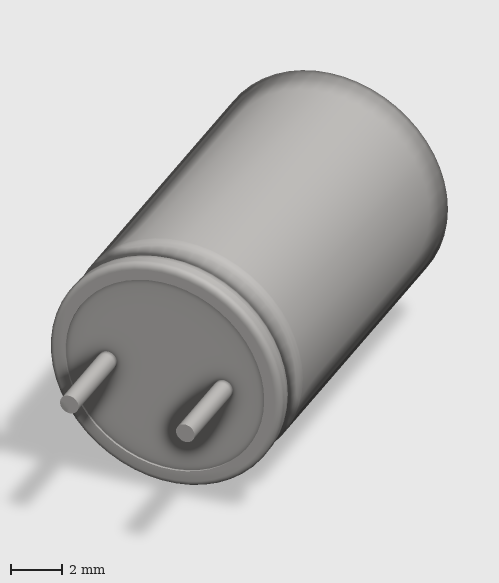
import cadquery as cq
import math

total_length = 19.5

can_diameter = 10.0
can_radius = can_diameter / 2
lead_length = 3.5
can_length = total_length - lead_length
closed_end_fillet = 0.53
crimp_end_fillet = 0.25

groove_center = 1.3
groove_depth = 0.27
groove_half_width = 0.76
groove_arc_half_width = 0.4

seal_diameter = 8.58
seal_recess = 0.1

lead_diameter = 0.8
lead_spacing = can_diameter / 2


def make_can():
    """Revolve the half profile of the can, with its rolled groove, about the Y axis."""
    turn = 2 * math.atan(groove_depth / groove_half_width)
    shoulder_radius = (groove_half_width - groove_arc_half_width) / math.sin(turn)
    shoulder_end = can_radius - shoulder_radius * (1 - math.cos(turn))
    shoulder_drop = shoulder_radius * (1 - math.cos(turn / 2))
    shoulder_middle = groove_half_width - shoulder_radius * math.sin(turn / 2)
    profile = (
        cq.Workplane("XY")
        .lineTo(can_radius, 0)
        .lineTo(can_radius, groove_center - groove_half_width)
        .threePointArc(
            (can_radius - shoulder_drop, groove_center - shoulder_middle),
            (shoulder_end, groove_center - groove_arc_half_width),
        )
        .threePointArc(
            (can_radius - groove_depth, groove_center),
            (shoulder_end, groove_center + groove_arc_half_width),
        )
        .threePointArc(
            (can_radius - shoulder_drop, groove_center + shoulder_middle),
            (can_radius, groove_center + groove_half_width),
        )
        .lineTo(can_radius, can_length)
        .lineTo(0, can_length)
        .close()
    )
    can = profile.revolve(360, (0, 0, 0), (0, 1, 0))
    can = can.faces(">Y").edges().fillet(closed_end_fillet)
    return can.faces("<Y").edges().fillet(crimp_end_fillet)


def make_seal_recess():
    """Shallow disc that sinks the seal face below the crimped rim."""
    return cq.Workplane("XZ").circle(seal_diameter / 2).extrude(-seal_recess)


def make_leads():
    """Two round leads running from the seal face to the -Y end."""
    return (
        cq.Workplane("XZ", origin=(0, seal_recess, 0))
        .pushPoints([(-lead_spacing / 2, 0), (lead_spacing / 2, 0)])
        .circle(lead_diameter / 2)
        .extrude(lead_length + seal_recess)
    )


result = make_can().cut(make_seal_recess()).union(make_leads())